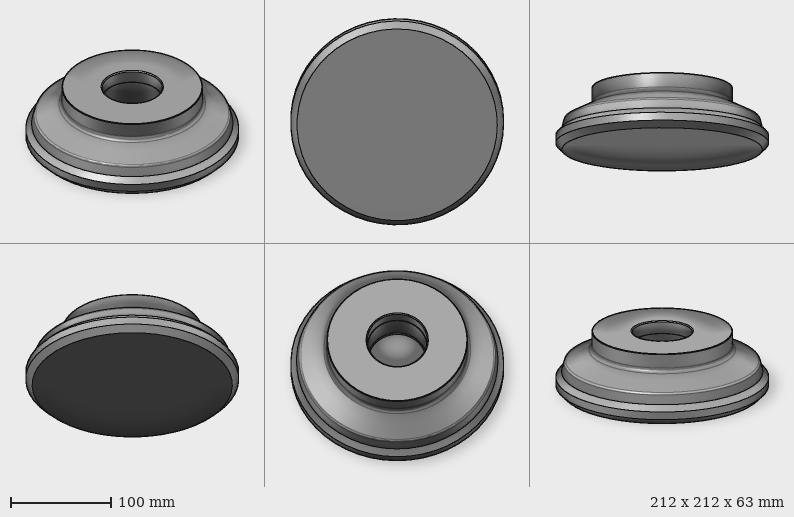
import cadquery as cq

total_height = 63.0
base_radius = 106.0
base_chamfer = 6.4
base_band_top = 14.5

rim_height = 20.1
rim_radius = base_radius - (rim_height - base_band_top)

shoulder_radius = 97.5
shoulder_height = 31.0
shoulder_fillet = 3.4

neck_radius = 70.0
neck_root_height = 44.7
neck_fillet = 5.5
neck_chamfer = 0.6

bore_radius = 29.5
bore_depth = 39.0
counterbore_radius = 29.9
counterbore_depth = 13.1
mouth_chamfer = 1.0
floor_chamfer = 1.0


def ring_edge(radius, height):
    """Select the circular edge at a given radius and height."""
    tolerance = 0.1
    return cq.selectors.BoxSelector(
        (-radius - tolerance, -radius - tolerance, height - tolerance),
        (radius + tolerance, radius + tolerance, height + tolerance),
        boundingbox=True,
    )


def make_body():
    """Revolve the half profile and round the shoulder and the neck root."""
    body = (
        cq.Workplane("XZ")
        .lineTo(base_radius - base_chamfer, 0)
        .lineTo(base_radius, base_chamfer)
        .lineTo(base_radius, base_band_top)
        .lineTo(rim_radius, rim_height)
        .lineTo(shoulder_radius, shoulder_height)
        .lineTo(neck_radius, neck_root_height)
        .lineTo(neck_radius, total_height)
        .lineTo(0, total_height)
        .close()
        .revolve(360, (0, 0), (0, 1))
    )
    body = body.edges(ring_edge(shoulder_radius, shoulder_height)).fillet(shoulder_fillet)
    body = body.edges(ring_edge(neck_radius, neck_root_height)).fillet(neck_fillet)
    return body.faces(">Z").edges().chamfer(neck_chamfer)


def cut_bore(body):
    """Cut the blind bore, its shallow counterbore and the mouth and floor chamfers."""
    top = cq.Workplane("XY").workplane(offset=total_height)
    bore = top.circle(bore_radius).extrude(-bore_depth).faces("<Z").edges().chamfer(floor_chamfer)
    counterbore = top.circle(counterbore_radius).extrude(-counterbore_depth)
    body = body.cut(bore).cut(counterbore)
    return body.edges(ring_edge(counterbore_radius, total_height)).chamfer(mouth_chamfer)


result = cut_bore(make_body())